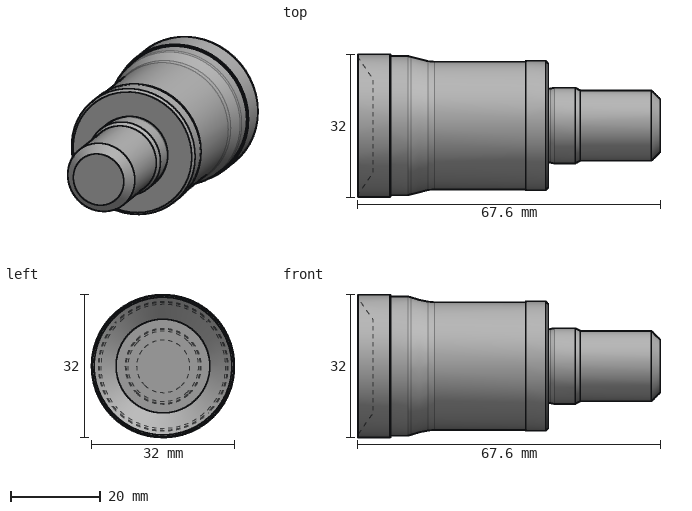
import cadquery as cq

TOTAL_LENGTH = 67.6

CAP_DIAMETER = 32.0
CAP_LENGTH = 7.45
RIM_WIDTH = 0.6
DISH_FLOOR_DIAMETER = 20.95
DISH_DEPTH = 3.4
CAP_EDGE_CHAMFER = 0.2

COLLAR_DIAMETER = 31.2
COLLAR_END = 11.2
TAPER_START = 11.85
TAPER_START_DIAMETER = 30.85
TAPER_END = 15.7
TAPER_END_DIAMETER = 28.9
BARREL_DIAMETER = 28.6
BARREL_START = 17.1

FLANGE_DIAMETER = 29.0
FLANGE_START = 37.6
FLANGE_END = 42.6
FLANGE_CHAMFER = 0.6

RELIEF_DIAMETER = 16.6
RELIEF_END = 43.0
LAND_DIAMETER = 17.0
LAND_START = 43.9
LAND_END = 48.6
STUD_DIAMETER = 15.75
STUD_START = 49.8
STUD_CHAMFER = 1.95


def revolve_about_x(profile):
    """Full turn about the X axis of a closed profile drawn as X against radius."""
    return profile.close().revolve(360, (0, 0, 0), (1, 0, 0))


def make_cap():
    cap_radius = CAP_DIAMETER / 2
    profile = (
        cq.Workplane("XY")
        .moveTo(DISH_DEPTH, 0)
        .lineTo(DISH_DEPTH, DISH_FLOOR_DIAMETER / 2)
        .lineTo(0, cap_radius - RIM_WIDTH)
        .lineTo(0, cap_radius - CAP_EDGE_CHAMFER)
        .lineTo(CAP_EDGE_CHAMFER, cap_radius)
        .lineTo(CAP_LENGTH - CAP_EDGE_CHAMFER, cap_radius)
        .lineTo(CAP_LENGTH, cap_radius - CAP_EDGE_CHAMFER)
        .lineTo(CAP_LENGTH, 0)
    )
    return revolve_about_x(profile)


def make_holder():
    flange_radius = FLANGE_DIAMETER / 2
    stud_radius = STUD_DIAMETER / 2
    profile = (
        cq.Workplane("XY")
        .moveTo(CAP_LENGTH, 0)
        .lineTo(CAP_LENGTH, COLLAR_DIAMETER / 2)
        .lineTo(COLLAR_END, COLLAR_DIAMETER / 2)
        .lineTo(TAPER_START, TAPER_START_DIAMETER / 2)
        .lineTo(TAPER_END, TAPER_END_DIAMETER / 2)
        .lineTo(BARREL_START, BARREL_DIAMETER / 2)
        .lineTo(FLANGE_START, BARREL_DIAMETER / 2)
        .lineTo(FLANGE_START, flange_radius)
        .lineTo(FLANGE_END - FLANGE_CHAMFER, flange_radius)
        .lineTo(FLANGE_END, flange_radius - FLANGE_CHAMFER)
        .lineTo(FLANGE_END, RELIEF_DIAMETER / 2)
        .lineTo(RELIEF_END, RELIEF_DIAMETER / 2)
        .lineTo(LAND_START, LAND_DIAMETER / 2)
        .lineTo(LAND_END, LAND_DIAMETER / 2)
        .lineTo(STUD_START, stud_radius)
        .lineTo(TOTAL_LENGTH - STUD_CHAMFER, stud_radius)
        .lineTo(TOTAL_LENGTH, stud_radius - STUD_CHAMFER)
        .lineTo(TOTAL_LENGTH, 0)
    )
    return revolve_about_x(profile)


cap = make_cap()
holder = make_holder()

result = cq.Compound.makeCompound([cap.val(), holder.val()])